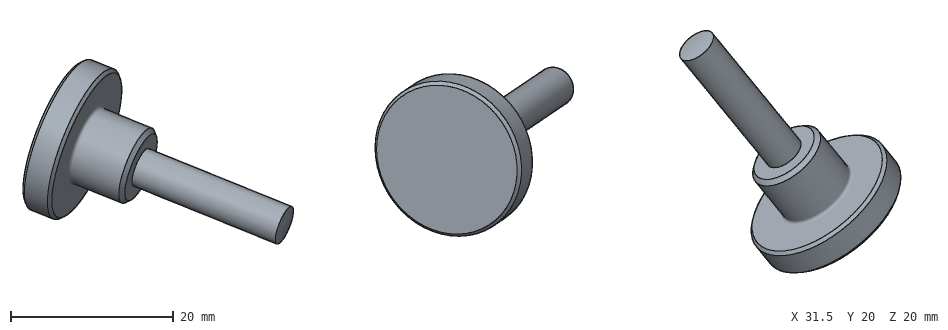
import cadquery as cq

total_length = 31.48
head_radius = 20.0 / 2
head_thickness = 4.0
head_chamfer = 0.4
hub_radius = head_radius / 2
hub_end = 11.5
hub_chamfer = 0.57
hub_fillet = 0.4
stem_radius = hub_radius / 2
tip_height = 0.2

stem_end = total_length - tip_height
diagonal = 0.5 ** 0.5
dome_radius = (stem_radius**2 + tip_height**2) / (2 * tip_height)
dome_mid_radius = stem_radius / 2
dome_mid_x = total_length - dome_radius + (dome_radius**2 - dome_mid_radius**2) ** 0.5

profile = (
    cq.Workplane("XY")
    .lineTo(0, head_radius - head_chamfer)
    .lineTo(head_chamfer, head_radius)
    .lineTo(head_thickness - head_chamfer, head_radius)
    .lineTo(head_thickness, head_radius - head_chamfer)
    .lineTo(head_thickness, hub_radius + hub_fillet)
    .threePointArc(
        (
            head_thickness + hub_fillet * (1 - diagonal),
            hub_radius + hub_fillet * (1 - diagonal),
        ),
        (head_thickness + hub_fillet, hub_radius),
    )
    .lineTo(hub_end - hub_chamfer, hub_radius)
    .lineTo(hub_end, hub_radius - hub_chamfer)
    .lineTo(hub_end, stem_radius)
    .lineTo(stem_end, stem_radius)
    .threePointArc((dome_mid_x, dome_mid_radius), (total_length, 0))
    .close()
)

result = profile.revolve(360, (0, 0, 0), (1, 0, 0))